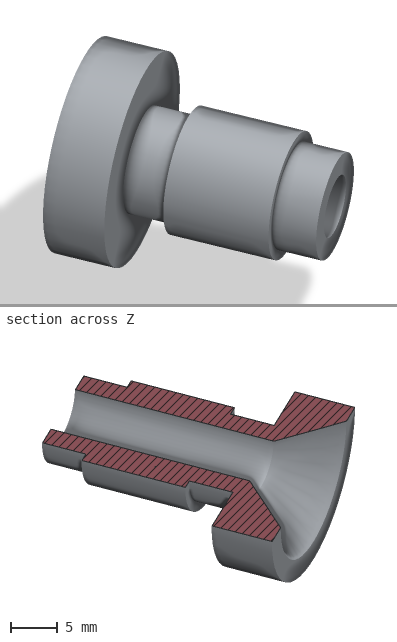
import cadquery as cq

total_length = 29.0
flange_length = 7.0
neck_length = 5.0
body_length = 12.0
tip_length = total_length - flange_length - neck_length - body_length

flange_diameter = 24.0
neck_diameter = flange_diameter / 2
body_diameter = 14.3
tip_diameter = neck_diameter
bore_diameter = 7.0
funnel_diameter = 19.0

funnel_depth = (funnel_diameter - bore_diameter) / 2


def stepped_shaft(steps):
    """Stack coaxial cylinders along +X from (length, diameter) pairs."""
    shaft = cq.Workplane("YZ")
    start = 0.0
    for length, diameter in steps:
        cylinder = cq.Workplane("YZ", origin=(start, 0, 0)).circle(diameter / 2).extrude(length)
        shaft = shaft.add(cylinder)
        start += length
    return shaft.combine()


def funnel_bore():
    """Through bore that widens into a conical mouth at the flange face."""
    bore_radius = bore_diameter / 2
    return (
        cq.Workplane("XY")
        .lineTo(0, funnel_diameter / 2)
        .lineTo(funnel_depth, bore_radius)
        .lineTo(total_length, bore_radius)
        .lineTo(total_length, 0)
        .close()
        .revolve(360, (0, 0, 0), (1, 0, 0))
    )


outer_shape = stepped_shaft([
    (flange_length, flange_diameter),
    (neck_length, neck_diameter),
    (body_length, body_diameter),
    (tip_length, tip_diameter),
])
result = outer_shape.cut(funnel_bore())